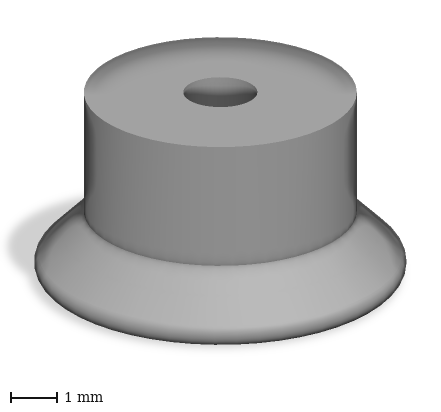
import cadquery as cq
import math

flange_diameter = 8.05
hub_diameter = 5.9
bore_diameter = 1.6
total_height = 4.3
rim_radius = 0.3
cone_angle = math.radians(45)

flange_radius = flange_diameter / 2
hub_radius = hub_diameter / 2
bore_radius = bore_diameter / 2

rim_center_radius = flange_radius - rim_radius
cone_bottom_radius = rim_center_radius + rim_radius * math.sin(cone_angle)
cone_bottom_height = rim_radius * (1 + math.cos(cone_angle))
cone_top_height = cone_bottom_height + (cone_bottom_radius - hub_radius) * math.tan(cone_angle)

profile = (
    cq.Workplane("XZ")
    .moveTo(bore_radius, 0)
    .lineTo(rim_center_radius, 0)
    .threePointArc((flange_radius, rim_radius), (cone_bottom_radius, cone_bottom_height))
    .lineTo(hub_radius, cone_top_height)
    .lineTo(hub_radius, total_height)
    .lineTo(bore_radius, total_height)
    .close()
)

result = profile.revolve(360, (0, 0, 0), (0, 1, 0))